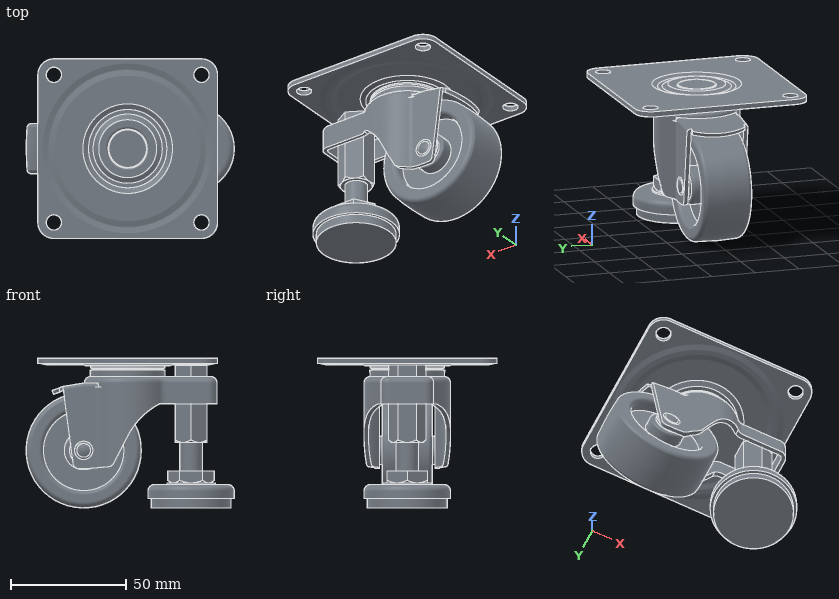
import cadquery as cq
import math


plate_side = 78.0
plate_thickness = 2.35
plate_top = 65.0
plate_bottom = plate_top - plate_thickness
plate_corner_radius = 7.05
plate_hole_diameter = 6.5
plate_hole_spacing = 64.0
pivot_radius = 8.5
pivot_edge_radius = 1.0
pivot_chamfer = 0.4
pivot_recess = 0.2

bead_slope = 2.4
outer_bead_radius = 36.8
outer_bead_floor = 0.4
outer_bead_depth = 0.5
inner_bead_radius = 19.4
inner_bead_floor = 2.0
inner_bead_depth = 1.1
ridge_spread = 1.0

neck_radius = 16.1
neck_lower_radius = 15.5
neck_taper_top = 60.8
neck_taper_bottom = 60.3
collar_radius = 16.3
collar_top = 59.8

sheet = 2.0
cup_radius = 18.8
cup_top = 57.1
cup_fillet = 2.8
bend_radius = 3.8
arm_half_width = 11.5
arm_end = 38.8
arm_bottom = 45.2
leg_half_width = 14.0
leg_bottom = 17.2
leg_bottom_front = -23.4
leg_bottom_bend = -16.5
skirt_bottom = 18.1
skirt_bottom_rear = -6.8
skirt_corner_radius = 2.7
leg_top_front = -28.1
leg_corner_radius = 2.3
hood_front_height = 52.8
hood_rear_height = 54.3
hood_edge_radius = 1.7
visor_length = 5.1
visor_angle = math.radians(21)
visor_sagitta = 4.3
trim_start = (-0.8, 29.6)
trim_middle = (6.2, 39.7)
trim_end_x = 13.8

wheel_x = -19.1
wheel_radius = 25.0
wheel_half_width = 10.9
tread_half_width = 9.3
tread_crown = 0.4
tread_side_radius = 22.5
rim_opening_radius = 19.4
rim_inner_radius = 17.4
web_half_thickness = 5.3
boss_radius = 8.4
boss_fillet = 1.1
spacer_radius = 6.1
axle_radius = 3.0
axle_head_radius = 4.0
axle_head_height = 1.1

stem_x = 27.5
hex_width = 13.9
hex_top = 62.0
hex_bottom = 28.5
rod_radius = 5.0
nut_corner_diameter = 20.2
nut_top = 16.2
end_bevel_height = 1.1
foot_radius = 18.8
foot_fillet = 3.0
foot_top = 10.3
foot_step = 4.2
foot_base_radius = 17.35
washer_radius = 10.5
washer_thickness = 0.6
nut_bottom = foot_top + washer_thickness

margin = 0.9


def revolve_about_z(points):
    """Solid of revolution about Z from (radius, height) points."""
    return cq.Workplane("XZ").polyline(points).close().revolve(360, (0, 0), (0, 1))


def cylinder_z(radius, bottom, top):
    """Solid cylinder on the Z axis between two heights."""
    return cq.Workplane("XY").workplane(offset=bottom).circle(radius).extrude(top - bottom)


def side_extrusion(outline, half_width):
    """Extrude an outline of the XZ plane symmetrically in Y."""
    return outline.extrude(half_width, both=True)


def ring_bead(outer_radius, floor_width, depth, level):
    """Ring of trapezoid section, wide at the given level and narrow below it."""
    inner_radius = outer_radius - 2 * bead_slope - floor_width
    return revolve_about_z([
        (outer_radius, level),
        (outer_radius - bead_slope, level - depth),
        (inner_radius + bead_slope, level - depth),
        (inner_radius, level),
    ])


def bevelled_hexagon(corner_diameter, bottom, top, turn):
    """Hexagonal prism along Z with the corners of its lower end bevelled."""
    prism = (
        cq.Workplane("XY").workplane(offset=bottom)
        .transformed(rotate=(0, 0, turn))
        .polygon(6, corner_diameter)
        .extrude(top - bottom)
    )
    corner_radius = corner_diameter / 2
    flat_radius = corner_radius * math.cos(math.pi / 6)
    cone = revolve_about_z([
        (0, bottom),
        (flat_radius, bottom),
        (corner_radius, bottom + end_bevel_height),
        (corner_radius, top),
        (0, top),
    ])
    return prism.intersect(cone)


def make_plate():
    """Square plate with bolt holes, pressed beads and the neck under its centre."""
    plate = (
        cq.Workplane("XY").workplane(offset=plate_bottom)
        .rect(plate_side, plate_side)
        .extrude(plate_thickness)
        .edges("|Z").fillet(plate_corner_radius)
        .faces(">Z").workplane()
        .rect(plate_hole_spacing, plate_hole_spacing, forConstruction=True)
        .vertices().hole(plate_hole_diameter)
    )
    for radius, floor_width, depth in (
        (outer_bead_radius, outer_bead_floor, outer_bead_depth),
        (inner_bead_radius, inner_bead_floor, inner_bead_depth),
    ):
        ridge = ring_bead(radius + ridge_spread, floor_width + 2 * ridge_spread, depth, plate_bottom)
        plate = plate.union(ridge)
        plate = plate.cut(ring_bead(radius, floor_width, depth, plate_top))

    neck = revolve_about_z([
        (0, plate_bottom),
        (neck_radius, plate_bottom),
        (neck_radius, neck_taper_top),
        (neck_lower_radius, neck_taper_bottom),
        (neck_lower_radius, collar_top),
        (0, collar_top),
    ])
    return plate.union(neck).cut(make_pivot_hole())


def make_pivot_hole():
    """Round hole on the swivel axis whose upper rim is rounded outwards."""
    rim_bottom = plate_top - pivot_edge_radius
    return (
        cq.Workplane("XZ")
        .moveTo(0, collar_top)
        .lineTo(pivot_radius, collar_top)
        .lineTo(pivot_radius, rim_bottom)
        .radiusArc((pivot_radius + pivot_edge_radius, plate_top), pivot_edge_radius)
        .lineTo(0, plate_top)
        .close()
        .revolve(360, (0, 0), (0, 1))
    )


def cup_plan(offset, bottom, top):
    """Round cup with its rear arm, the plan outline moved in by the offset."""
    height = top - bottom
    radius = cup_radius - offset
    end = arm_end - offset
    arm = (
        cq.Workplane("XY").workplane(offset=bottom)
        .center(end / 2, 0)
        .rect(end, 2 * (arm_half_width - offset))
        .extrude(height)
        .edges("|Z and >X").fillet(bend_radius - offset)
    )
    cup = cylinder_z(radius, bottom, top).union(arm)
    root = cq.selectors.BoxSelector(
        (radius / 2, -radius, bottom), (radius, radius, top)
    )
    return cup.edges("|Z").edges(root).fillet(bend_radius + offset)


def visor_point(distance):
    """Point (x, z) on top of the visor, a distance down its slope from the legs."""
    return (
        leg_top_front - distance * math.cos(visor_angle),
        hood_front_height - distance * math.sin(visor_angle),
    )


def make_hood():
    """Solid block of the two legs and the sloping hood above the wheel."""
    block = side_extrusion(
        cq.Workplane("XZ").polyline([
            (0, leg_bottom),
            (leg_bottom_front, leg_bottom),
            (leg_top_front, hood_front_height),
            (-cup_radius, hood_rear_height),
            (0, hood_rear_height),
        ]).close(),
        leg_half_width,
    )
    corner = cq.selectors.BoxSelector(
        (leg_bottom_front - margin, -margin, leg_bottom - margin),
        (leg_bottom_front + margin, margin, leg_bottom + margin),
    )
    block = block.edges("|Y").edges(corner).fillet(leg_corner_radius)
    for side in (-leg_half_width, leg_half_width):
        bend = cq.selectors.BoxSelector(
            (leg_top_front, side - margin, hood_front_height - margin),
            (margin, side + margin, hood_rear_height + margin),
        )
        block = block.edges(bend).edges("not |Y").edges("not |Z").fillet(hood_edge_radius)
    return block


def make_visor():
    """Sheet sloping down in front of the hood, between the planes of the legs."""
    front_x, front_z = visor_point(visor_length + sheet)
    blank = side_extrusion(
        cq.Workplane("XZ").polyline([
            (front_x, front_z - sheet),
            (front_x, front_z),
            (leg_top_front, hood_front_height),
            (leg_top_front + sheet, hood_front_height),
            (leg_top_front + sheet, hood_front_height - sheet),
            (leg_top_front, hood_front_height - sheet),
        ]).close(),
        leg_half_width - sheet,
    )
    return blank.cut(make_visor_trim())


def make_visor_trim():
    """Everything beyond the arched front edge of the visor, square to its sheet."""
    tip_x, tip_z = visor_point(visor_length)
    slope = cq.Plane(
        origin=(tip_x, 0, tip_z),
        xDir=(math.cos(visor_angle), 0, math.sin(visor_angle)),
        normal=(-math.sin(visor_angle), 0, math.cos(visor_angle)),
    )
    return (
        cq.Workplane(slope)
        .moveTo(-visor_length, -leg_half_width)
        .lineTo(visor_sagitta, -leg_half_width)
        .threePointArc((0, 0), (visor_sagitta, leg_half_width))
        .lineTo(-visor_length, leg_half_width)
        .close()
        .extrude(2 * sheet, both=True)
    )


def make_leg_bends():
    """Concave bends that carry the flat legs into the round cup."""
    top = hood_rear_height - hood_edge_radius
    legs = (
        cq.Workplane("XY").workplane(offset=leg_bottom)
        .center(-leg_half_width / 2, 0)
        .rect(leg_half_width + 2 * sheet, 2 * leg_half_width)
        .extrude(top - leg_bottom)
    )
    bends = legs.union(cylinder_z(cup_radius, leg_bottom, top))
    joint = cq.selectors.BoxSelector(
        (-leg_half_width, -leg_half_width - sheet, leg_bottom),
        (-leg_half_width / 2, leg_half_width + sheet, top),
    )
    return bends.edges("|Z").edges(joint).fillet(bend_radius)


def make_hood_cavity():
    """Space under the sheet of the hood and between the legs."""
    front_x, front_z = visor_point(2 * visor_length)
    return side_extrusion(
        cq.Workplane("XZ").polyline([
            (0, 0),
            (front_x, 0),
            (front_x, front_z - sheet),
            (leg_top_front, hood_front_height - sheet),
            (-cup_radius, hood_rear_height - sheet),
            (0, hood_rear_height - sheet),
        ]).close(),
        leg_half_width - sheet,
    )


def make_skirt_trim():
    """Region kept above the lower edge of the legs, the skirt and the arm."""
    far_front = -plate_side
    region = side_extrusion(
        cq.Workplane("XZ")
        .moveTo(far_front, leg_bottom)
        .lineTo(leg_bottom_bend, leg_bottom)
        .lineTo(skirt_bottom_rear, skirt_bottom)
        .lineTo(*trim_start)
        .threePointArc(trim_middle, (trim_end_x, arm_bottom))
        .lineTo(arm_end, arm_bottom)
        .lineTo(arm_end, plate_top)
        .lineTo(far_front, plate_top)
        .close(),
        plate_side / 2,
    )
    corner = cq.selectors.BoxSelector(
        (skirt_bottom_rear - margin, -margin, skirt_bottom - margin),
        (skirt_bottom_rear + margin, margin, skirt_bottom + margin),
    )
    return region.edges("|Y").edges(corner).fillet(skirt_corner_radius)


def make_fork():
    """Sheet shell with its swivel collar and pivot, bored for the axle and stem."""
    cup = cup_plan(0, leg_bottom, cup_top).faces(">Z").edges().fillet(cup_fillet)
    shell = cup.union(make_hood()).union(make_visor()).union(make_leg_bends())
    shell = shell.cut(cup_plan(sheet, leg_bottom, cup_top - sheet)).cut(make_hood_cavity())
    shell = shell.intersect(make_skirt_trim())

    collar = cylinder_z(collar_radius, cup_top, collar_top)
    pivot = cylinder_z(pivot_radius, cup_top, plate_top - pivot_recess)
    pivot = pivot.faces(">Z").chamfer(pivot_chamfer)
    axle_hole = (
        cq.Workplane("XZ").center(wheel_x, wheel_radius)
        .circle(axle_radius).extrude(leg_half_width, both=True)
    )
    return shell.union(collar).union(pivot).cut(axle_hole).cut(make_stem())


def make_wheel():
    """Crowned wheel, dished on both sides of a web, with hub bosses and spacers."""
    spacer_end = leg_half_width - sheet
    rim_fillet = rim_opening_radius - rim_inner_radius
    tread_edge = wheel_radius - tread_crown
    shoulder = tread_edge - tread_side_radius
    outline = (
        cq.Workplane("XY")
        .moveTo(axle_radius, -spacer_end)
        .lineTo(spacer_radius, -spacer_end)
        .lineTo(spacer_radius, -wheel_half_width)
        .lineTo(boss_radius - boss_fillet, -wheel_half_width)
        .radiusArc((boss_radius, boss_fillet - wheel_half_width), -boss_fillet)
        .lineTo(boss_radius, -web_half_thickness)
        .lineTo(rim_inner_radius, -web_half_thickness)
        .lineTo(rim_inner_radius, rim_fillet - wheel_half_width)
        .radiusArc((rim_opening_radius, -wheel_half_width), -rim_fillet)
        .lineTo(tread_side_radius, -wheel_half_width)
        .radiusArc((tread_edge, -tread_half_width), -shoulder)
        .threePointArc((wheel_radius, 0), (tread_edge, tread_half_width))
        .radiusArc((tread_side_radius, wheel_half_width), -shoulder)
        .lineTo(rim_opening_radius, wheel_half_width)
        .radiusArc((rim_inner_radius, wheel_half_width - rim_fillet), -rim_fillet)
        .lineTo(rim_inner_radius, web_half_thickness)
        .lineTo(boss_radius, web_half_thickness)
        .lineTo(boss_radius, wheel_half_width - boss_fillet)
        .radiusArc((boss_radius - boss_fillet, wheel_half_width), -boss_fillet)
        .lineTo(spacer_radius, wheel_half_width)
        .lineTo(spacer_radius, spacer_end)
        .lineTo(axle_radius, spacer_end)
        .close()
    )
    wheel = outline.revolve(360, (0, 0), (0, 1))
    return wheel.translate((wheel_x, 0, wheel_radius))


def make_axle():
    """Rivet with a domed head outside each leg."""
    crown = leg_half_width + axle_head_height
    dome_radius = (axle_head_radius**2 + axle_head_height**2) / (2 * axle_head_height)
    axle = (
        cq.Workplane("XY")
        .moveTo(0, -crown)
        .radiusArc((axle_head_radius, -leg_half_width), -dome_radius)
        .lineTo(axle_radius, -leg_half_width)
        .lineTo(axle_radius, leg_half_width)
        .lineTo(axle_head_radius, leg_half_width)
        .radiusArc((0, crown), -dome_radius)
        .close()
        .revolve(360, (0, 0), (0, 1))
    )
    return axle.translate((wheel_x, 0, wheel_radius))


def make_stem():
    """Hexagonal column, round rod and hexagonal nut in one piece."""
    column_corner = hex_width / math.cos(math.pi / 6)
    column = bevelled_hexagon(column_corner, hex_bottom, hex_top, 30)
    rod = cylinder_z(rod_radius, nut_bottom, hex_bottom)
    nut = bevelled_hexagon(nut_corner_diameter, nut_bottom, nut_top, 0)
    return column.union(rod).union(nut).translate((stem_x, 0, 0))


def make_foot():
    """Round stepped foot with the thin washer that carries the stem."""
    base = cylinder_z(foot_base_radius, 0, foot_step)
    cap = cylinder_z(foot_radius, foot_step, foot_top).faces(">Z").edges().fillet(foot_fillet)
    washer = cylinder_z(washer_radius, foot_top, nut_bottom)
    return base.union(cap).union(washer).translate((stem_x, 0, 0))


plate = make_plate()
fork = make_fork()
wheel = make_wheel()
axle = make_axle()
stem = make_stem()
foot = make_foot()

result = cq.Compound.makeCompound([
    plate.solids().val(),
    fork.solids().val(),
    wheel.solids().val(),
    axle.solids().val(),
    stem.solids().val(),
    foot.solids().val(),
])